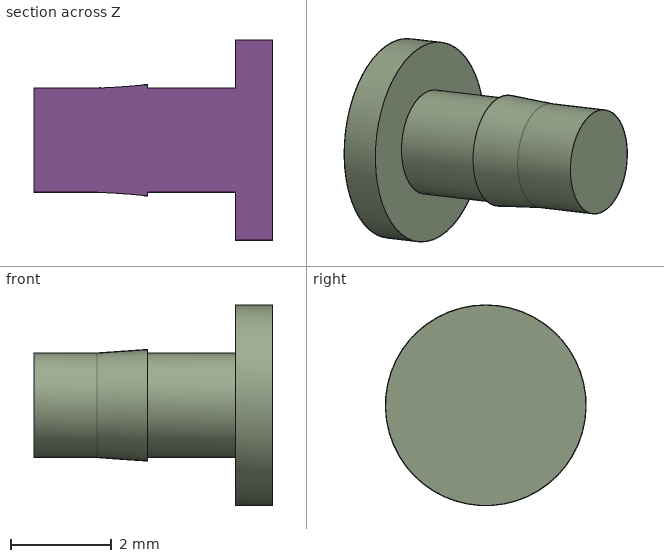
import cadquery as cq

overall_length = 4.74
head_diameter = 3.99
head_thickness = 0.74
shank_diameter = 2.08
barb_diameter = 2.22
tip_length = 1.25
barb_length = 1.01

head_radius = head_diameter / 2
shank_radius = shank_diameter / 2
barb_radius = barb_diameter / 2
barb_start = tip_length
barb_end = barb_start + barb_length
head_start = overall_length - head_thickness


def make_pin():
    """Revolve the half section: tip, barb tapering outward, shank and head."""
    half_section = (
        cq.Workplane("XZ")
        .moveTo(0, 0)
        .lineTo(0, shank_radius)
        .lineTo(barb_start, shank_radius)
        .lineTo(barb_end, barb_radius)
        .lineTo(barb_end, shank_radius)
        .lineTo(head_start, shank_radius)
        .lineTo(head_start, head_radius)
        .lineTo(overall_length, head_radius)
        .lineTo(overall_length, 0)
        .close()
    )
    return half_section.revolve(360, (0, 0, 0), (1, 0, 0))


result = make_pin()